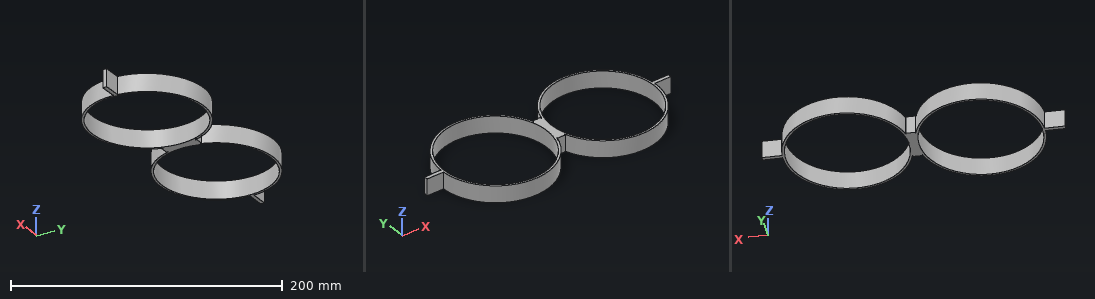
import cadquery as cq

overall_length = 227.0
height = 15.0
ring_outer_diameter = 96.7
ring_wall = 2.0
ring_spacing = 99.9
bridge_width = 30.0
tab_thickness = 3.5

outer_radius = ring_outer_diameter / 2
inner_radius = outer_radius - ring_wall
bridge_length = ring_spacing - 2 * inner_radius
ring_centers = [(-ring_spacing / 2, 0), (ring_spacing / 2, 0)]


def cylinders(radius):
    """Two upright cylinders, one on each ring centre."""
    return cq.Workplane("XY").pushPoints(ring_centers).circle(radius).extrude(height)


tab_bar = cq.Workplane("XY").box(
    overall_length, tab_thickness, height, centered=(True, False, False)
)

bridge = cq.Workplane("XY").box(
    bridge_length, bridge_width, height, centered=(True, True, False)
)

result = cylinders(outer_radius).union(bridge).union(tab_bar).cut(cylinders(inner_radius))